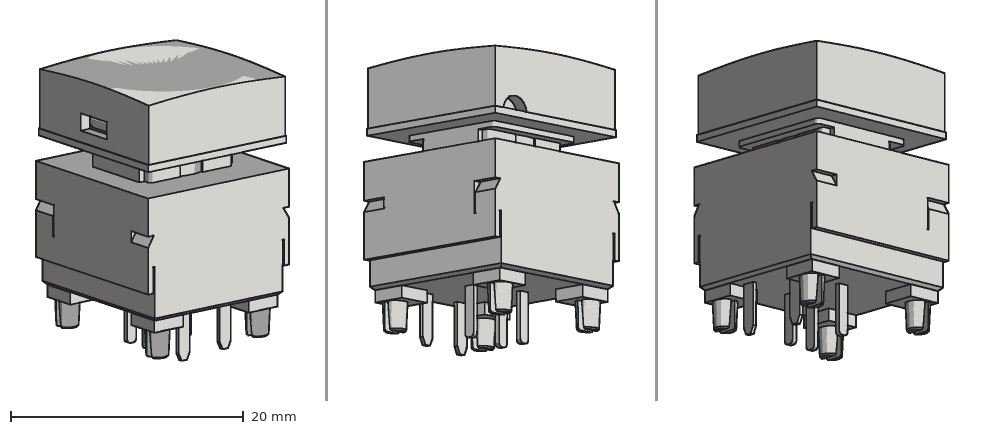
import cadquery as cq
import math

height = 24.2
body_bottom = 4.53
arm_bottom = 7.1
slot_top = 9.45
notch_top = 12.25
body_top = 15.65
collar_bottom = 17.42
lip_bottom = 17.93
lip_top = 18.55

body_size = 15.5
base_depth = 14.04
base_chamfer = 0.31
arm_thickness = 0.55
notch_length = 2.35
notch_depth = 0.63
notch_height = 1.0
slit_width = 0.12

collar_size = 10.21
neck_width = 8.03
neck_depth = 9.15
neck_key_width = 6.44
neck_window = 2.47
corner_radius = 0.8 / 2

cap_size = 15
lip_size = 15.15
dish_radius = 7.28
dish_depth = 0.44
corner_drop = 0.36

window_width = 3.55
window_center_x = -0.07
window_bottom = 19.58
window_height = 1.55
window_depth = 1.02
latch_width = 2.98
latch_bottom = 19.77
latch_height = 1.11
latch_bulge = 0.25

access_radius = 1.48
access_y = 5.0
access_drop = 0.25
access_depth = 1.15

foot_size = 3.17
foot_x = 5.78
foot_y = 5.18
foot_bottom = 3.44
peg_bottom = 0.9
peg_radius = 1.1
peg_tip_radius = 0.97
peg_x = 6.2
peg_y = 5.5
peg_gap_x = 6.25
peg_gap_top = 0.4
peg_gap_tip = 0.63
peg_tip_chamfer = 0.15

pin_thickness = 0.45
pin_width = 1.0
pin_row_y = 2.55
pin_pitch_x = 1.25
lamp_pin_width = 1.2
lamp_pin_thickness = 0.36
lamp_pin_tip_width = 0.58
lamp_pin_tip_height = 0.68
lamp_pin_mid_x = 5.66
lamp_pin_pitch_x = 0.73
pin_tip_radius = 0.36


def block(size_x, size_y, bottom, top, x=0, y=0):
    """Upright box centred on (x, y) between two heights."""
    return (
        cq.Workplane("XY", origin=(x, y, bottom))
        .box(size_x, size_y, top - bottom, centered=(True, True, False))
    )


def mirrored_y(shape):
    """Shape together with its reflection across the XZ plane."""
    return shape.union(shape.mirror("XZ"))


def make_body():
    base = block(body_size, base_depth, body_bottom, slot_top).faces("<Z").chamfer(base_chamfer)
    housing = base.union(block(body_size, body_size, slot_top, body_top))
    arm_y = (body_size - arm_thickness) / 2
    arm = block(body_size, arm_thickness, arm_bottom, slot_top, y=-arm_y)
    return housing.union(mirrored_y(arm))


def make_body_cuts():
    """Sloped notches at the corners and a narrow slit beside one of them, on the front and back faces."""
    face_y = -body_size / 2
    notch = (
        cq.Workplane("YZ", origin=(-body_size / 2, 0, 0))
        .polyline([
            (face_y, notch_top),
            (face_y + notch_depth, notch_top),
            (face_y, notch_top - notch_height),
        ])
        .close()
        .extrude(notch_length)
    )
    slit_x = -body_size / 2 + notch_length + slit_width / 2
    slit = block(slit_width, 2 * notch_depth, slot_top, notch_top, x=slit_x, y=face_y)
    return mirrored_y(notch.union(notch.mirror("YZ")).union(slit))


def make_neck():
    """Rounded neck with front and back keys, side barrels in shallow windows, and a square collar on top."""
    neck = block(neck_width, neck_depth, body_top, collar_bottom).edges("|Z").fillet(corner_radius)
    for side in (-1, 1):
        neck = neck.cut(block(neck_width / 2, neck_window, body_top, collar_bottom, x=side * neck_width / 2))
    barrel = cq.Workplane("XY", origin=(0, 0, body_top)).circle(neck_width / 2).extrude(collar_bottom - body_top)
    barrel = barrel.intersect(block(neck_width, neck_window, body_top, collar_bottom))
    key = block(neck_key_width, collar_size, body_top, collar_bottom)
    collar = block(collar_size, collar_size, collar_bottom, lip_bottom).edges("|Z").fillet(corner_radius)
    return neck.union(barrel).union(key).union(collar)


def make_cap():
    """Square cap whose top falls away conically outside a shallow spherical dish."""
    corner_reach = cap_size / math.sqrt(2)
    dish_curve = (dish_radius**2 + dish_depth**2) / (2 * dish_depth)
    mid_radius = dish_radius / 2
    mid_z = height - dish_depth + dish_curve - math.sqrt(dish_curve**2 - mid_radius**2)
    crown = (
        cq.Workplane("XZ")
        .moveTo(0, lip_top)
        .lineTo(corner_reach, lip_top)
        .lineTo(corner_reach, height - corner_drop)
        .lineTo(dish_radius, height)
        .threePointArc((mid_radius, mid_z), (0, height - dish_depth))
        .close()
        .revolve(360, (0, 0, 0), (0, 1, 0))
    )
    cap = crown.intersect(block(cap_size, cap_size, lip_top, height))
    return cap.union(block(lip_size, lip_size, lip_bottom, lip_top))


def make_latch_window():
    return block(
        window_width, 2 * window_depth, window_bottom, window_bottom + window_height,
        x=window_center_x, y=-cap_size / 2,
    )


def make_latch():
    """Rounded latch bar standing out from the back of the window."""
    wall_y = -cap_size / 2 + window_depth
    return (
        cq.Workplane("YZ", origin=(window_center_x - latch_width / 2, 0, 0))
        .moveTo(wall_y, latch_bottom)
        .threePointArc(
            (wall_y - latch_bulge, latch_bottom + latch_height / 2),
            (wall_y, latch_bottom + latch_height),
        )
        .close()
        .extrude(latch_width)
    )


def make_access_notch():
    disc = (
        cq.Workplane("YZ", origin=(-cap_size / 2, 0, 0))
        .center(access_y, lip_top - access_drop)
        .circle(access_radius)
        .extrude(access_depth)
    )
    return disc.intersect(block(cap_size, cap_size, lip_top, height))


def make_foot(side_x, side_y):
    """Square foot carrying a tapered peg split by a slot that widens downwards."""
    foot = block(foot_size, foot_size, foot_bottom, body_bottom, side_x * foot_x, side_y * foot_y)
    center_x = side_x * peg_x
    center_y = side_y * peg_y
    peg = (
        cq.Workplane("XY", origin=(center_x, center_y, foot_bottom))
        .circle(peg_radius)
        .workplane(offset=peg_bottom - foot_bottom)
        .circle(peg_tip_radius)
        .loft()
        .faces("<Z")
        .chamfer(peg_tip_chamfer)
    )
    gap_x = side_x * peg_gap_x
    gap = (
        cq.Workplane("XZ", origin=(gap_x, center_y, 0))
        .polyline([
            (-peg_gap_top / 2, foot_bottom),
            (peg_gap_top / 2, foot_bottom),
            (peg_gap_tip / 2, peg_bottom),
            (-peg_gap_tip / 2, peg_bottom),
        ])
        .close()
        .extrude(peg_radius, both=True)
    )
    return foot.union(peg.cut(gap))


def make_pin(size_x, size_y, x, y):
    """Flat terminal with the corners of its tip rounded across the wide face."""
    thin_axis = "|X" if size_x < size_y else "|Y"
    return block(size_x, size_y, 0, body_bottom, x, y).edges(thin_axis + " and <Z").fillet(pin_tip_radius)


def make_lamp_pin(x, y):
    """Thin terminal standing across X, tapered to a blunt tip."""
    half_width = lamp_pin_width / 2
    half_tip = lamp_pin_tip_width / 2
    return (
        cq.Workplane("YZ", origin=(x, y, 0))
        .polyline([
            (-half_width, body_bottom),
            (-half_width, lamp_pin_tip_height),
            (-half_tip, 0),
            (half_tip, 0),
            (half_width, lamp_pin_tip_height),
            (half_width, body_bottom),
        ])
        .close()
        .extrude(lamp_pin_thickness / 2, both=True)
    )


result = make_body().cut(make_body_cuts()).union(make_neck()).union(make_cap())
result = result.cut(make_latch_window()).union(make_latch()).cut(make_access_notch())

for side_x in (-1, 1):
    for side_y in (-1, 1):
        result = result.union(make_foot(side_x, side_y))

result = result.union(make_pin(pin_width, pin_thickness, 0, pin_row_y))
for side in (-1, 1):
    result = result.union(make_pin(pin_thickness, pin_width, side * pin_pitch_x, -pin_row_y))
    lamp_x = lamp_pin_mid_x - side * lamp_pin_pitch_x / 2
    result = result.union(make_lamp_pin(lamp_x, side * pin_row_y))